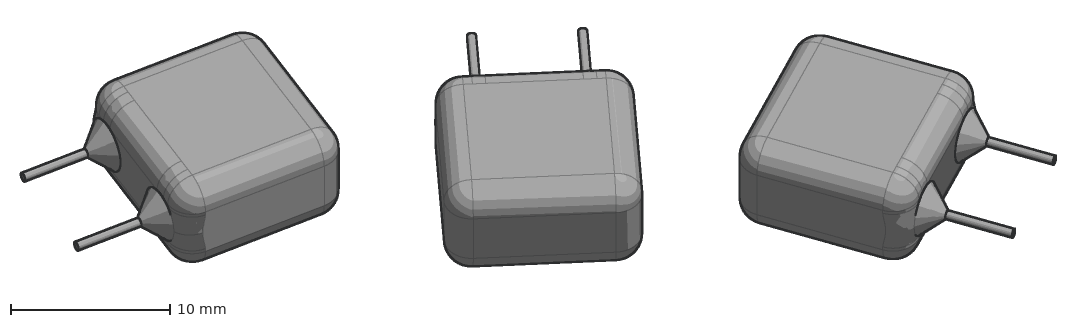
import cadquery as cq

body_width = 12.5
body_depth = 12.0
body_height = 7.0
edge_radius = 1.75

overall_depth = 18.0
lead_pitch = 7.0
lead_radius = 0.3
collar_length = 1.5
collar_root_radius = lead_radius + collar_length
lead_length = overall_depth - body_depth


def make_block():
    """Sharp-edged body block, reaching from the lead face towards +Y."""
    block = cq.Workplane("XY").box(body_width, body_depth, body_height)
    return block.translate((0, body_depth / 2, 0))


def make_lead(x):
    """Round lead with its conical collar, running from the lead face towards -Y."""
    half_profile = (
        cq.Workplane("XY")
        .moveTo(x, 0)
        .lineTo(x + collar_root_radius, 0)
        .lineTo(x + lead_radius, -collar_length)
        .lineTo(x + lead_radius, -lead_length)
        .lineTo(x, -lead_length)
        .close()
    )
    return half_profile.revolve(360, (x, 0, 0), (x, 1, 0))


def round_body(part):
    """Round all twelve body edges; near the leads the rounding runs out against the collar rims."""
    return part.edges("|X or |Z or (|Y and (>Z or <Z))").fillet(edge_radius)


result = make_block()
for side in (-1, 1):
    result = result.union(make_lead(side * lead_pitch / 2))
result = round_body(result)